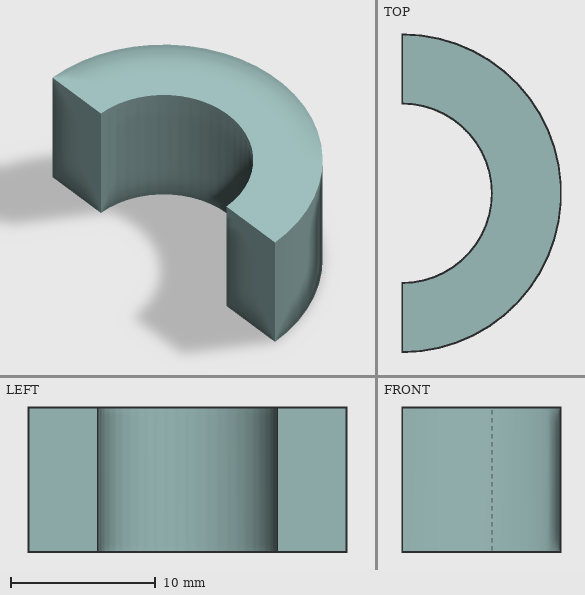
import cadquery as cq

OUTER_DIAMETER = 22.0
INNER_DIAMETER = 12.4
HEIGHT = 10.0

outer_radius = OUTER_DIAMETER / 2
inner_radius = INNER_DIAMETER / 2


def half_ring():
    """Half-annulus on the +X side of the YZ plane, extruded upwards."""
    return (
        cq.Workplane("XY")
        .moveTo(0, -outer_radius)
        .threePointArc((outer_radius, 0), (0, outer_radius))
        .lineTo(0, inner_radius)
        .threePointArc((inner_radius, 0), (0, -inner_radius))
        .close()
        .extrude(HEIGHT)
    )


result = half_ring()